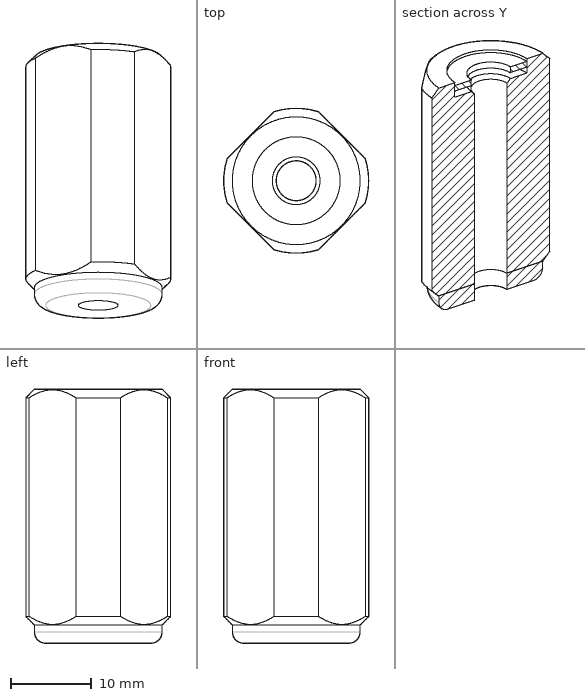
import cadquery as cq

total_height = 31.5
body_diameter = 18.0
across_flats = 16.0
end_diameter = 15.85
foot_height = 2.27
foot_round = 1.42

bore_diameter = 4.9
bore_chamfer = 0.5
socket_diameter = 10.9
socket_depth = 2.02

ring_recess = 0.38
ring_thickness = 0.85
ring_hole_diameter = bore_diameter + 2 * bore_chamfer

housing_height = total_height - foot_height
end_chamfer = (body_diameter - end_diameter) / 2
socket_floor = total_height - socket_depth
ring_bottom = total_height - ring_recess - ring_thickness


def cylinder(diameter, height, bottom):
    """Upright cylinder on the Z axis, starting at the given height."""
    return cq.Workplane("XY").workplane(offset=bottom).circle(diameter / 2).extrude(height)


def make_housing():
    """Chamfered round bar with four diagonal flats, a top socket and a bore."""
    bar = cylinder(body_diameter, housing_height, foot_height).faces("<Z or >Z").chamfer(end_chamfer)
    square = (
        cq.Workplane("XY")
        .workplane(offset=foot_height)
        .rect(across_flats, across_flats)
        .extrude(housing_height)
        .rotate((0, 0, 0), (0, 0, 1), 45)
    )
    socket = cylinder(socket_diameter, socket_depth, socket_floor)
    bore = cylinder(bore_diameter, housing_height, foot_height)
    blank = bar.intersect(square).cut(socket).cut(bore)
    floor = blank.faces(cq.selectors.NearestToPointSelector((0, 0, socket_floor)))
    bore_rim = floor.edges(cq.selectors.RadiusNthSelector(0))
    return bore_rim.chamfer(bore_chamfer)


def make_ring():
    """Flat ring seated just below the top face."""
    ring = cylinder(socket_diameter, ring_thickness, ring_bottom)
    return ring.cut(cylinder(ring_hole_diameter, ring_thickness, ring_bottom))


def make_foot():
    """Disc under the housing with a rounded lower rim and the bore through it."""
    foot = cylinder(end_diameter, foot_height, 0).faces("<Z").edges().fillet(foot_round)
    return foot.cut(cylinder(bore_diameter, foot_height, 0))


housing = make_housing()
ring = make_ring()
foot = make_foot()

result = cq.Compound.makeCompound([housing.val(), ring.val(), foot.val()])